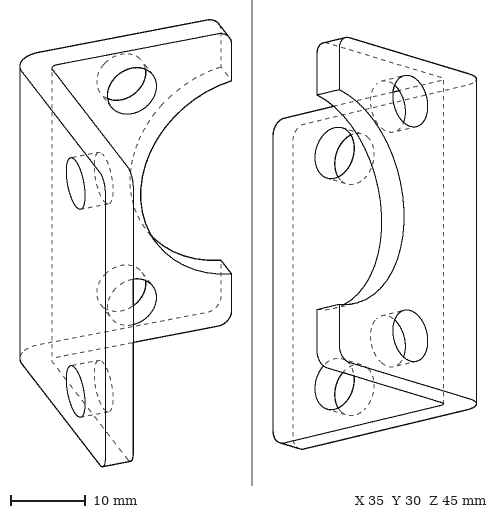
import cadquery as cq

width = 35.0
depth = 30.0
height = 45.0
thickness = 4.0
outer_bend_radius = 4.0
inner_bend_radius = 1.0
corner_radius = 2.0
mid_height = height / 2

hole_diameter = 7.0
front_hole_x = 24.0
front_hole_spacing = 32.0

cutout_radius = 15.0
cutout_center_y = 32.0
side_hole_spacing = 32.5
side_hole_y = cutout_center_y - side_hole_spacing / 2


def bent_plate():
    """L-shaped plate with its outer bend edge along the Z axis."""
    outline = [
        (0, 0),
        (width, 0),
        (width, thickness),
        (thickness, thickness),
        (thickness, depth),
        (0, depth),
    ]
    plate = cq.Workplane("XY").polyline(outline).close().extrude(height)
    plate = plate.edges(cq.NearestToPointSelector((0, 0, mid_height))).fillet(outer_bend_radius)
    inner_corner = (thickness, thickness, mid_height)
    plate = plate.edges(cq.NearestToPointSelector(inner_corner)).fillet(inner_bend_radius)
    plate = plate.faces(">X").edges("|Y").fillet(corner_radius)
    return plate.faces(">Y").edges("|X").fillet(corner_radius)


def front_holes():
    """Pair of cylinders along Y through the front leg."""
    centers = [(front_hole_x, mid_height + side * front_hole_spacing / 2) for side in (-1, 1)]
    return cq.Workplane("XZ").pushPoints(centers).circle(hole_diameter / 2).extrude(-thickness)


def side_holes():
    """Pair of cylinders along X through the side leg."""
    centers = [(side_hole_y, mid_height + side * side_hole_spacing / 2) for side in (-1, 1)]
    return cq.Workplane("YZ").pushPoints(centers).circle(hole_diameter / 2).extrude(thickness)


def side_cutout():
    """Cylinder along X that opens the free edge of the side leg."""
    return (
        cq.Workplane("YZ")
        .center(cutout_center_y, mid_height)
        .circle(cutout_radius)
        .extrude(thickness)
    )


result = bent_plate().cut(front_holes()).cut(side_holes()).cut(side_cutout())